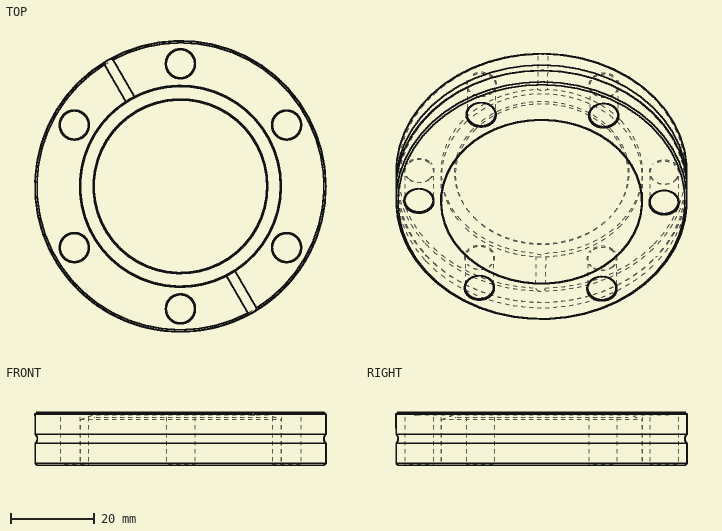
import cadquery as cq
import math

flange_diameter = 69.85
thickness = 12.7
flange_radius = flange_diameter / 2
rim_chamfer = 0.5
bore_diameter = 48.35

rim_groove_width = 2.25
rim_groove_depth = 0.5

bolt_count = 6
bolt_circle_diameter = 58.8
bolt_hole_diameter = 6.8
bolt_hole_chamfer = 0.2

channel_angle = 120.0
channel_width = 2.4
channel_depth = 0.55

insert_diameter = 48.05
knife_diameter = 41.9
center_diameter = 41.4
knife_tip_depth = 0.55
knife_slope = 20.0
center_depth = 1.2


def arc_radius(chord, height):
    """Radius of the circle that has this chord and arc height."""
    return (chord ** 2 / 4 + height ** 2) / (2 * height)


def cut_rim_groove(body):
    middle = thickness / 2
    half_width = rim_groove_width / 2
    section = (
        cq.Workplane("XZ")
        .moveTo(flange_radius, middle - half_width)
        .threePointArc((flange_radius - rim_groove_depth, middle), (flange_radius, middle + half_width))
        .lineTo(flange_radius + rim_groove_depth, middle + half_width)
        .lineTo(flange_radius + rim_groove_depth, middle - half_width)
        .close()
    )
    return body.cut(section.revolve(360, (0, 0, 0), (0, 1, 0)))


def cut_bolt_holes(body):
    hole_radius = bolt_hole_diameter / 2
    mouth_radius = hole_radius + bolt_hole_chamfer
    hole_section = cq.Workplane("XZ").polyline([
        (0, 0),
        (mouth_radius, 0),
        (hole_radius, bolt_hole_chamfer),
        (hole_radius, thickness - bolt_hole_chamfer),
        (mouth_radius, thickness),
        (0, thickness),
    ]).close()
    hole = hole_section.revolve(360, (0, 0, 0), (0, 1, 0)).translate((0, bolt_circle_diameter / 2, 0))
    for index in range(bolt_count):
        body = body.cut(hole.rotate((0, 0, 0), (0, 0, 1), index * 360 / bolt_count))
    return body


def cut_leak_channels(body):
    radius = arc_radius(channel_width, channel_depth)
    channel = (
        cq.Workplane("YZ", origin=(-flange_radius, 0, 0))
        .center(0, thickness - channel_depth + radius)
        .circle(radius)
        .extrude(flange_diameter)
        .rotate((0, 0, 0), (0, 0, 1), channel_angle)
    )
    return body.cut(channel)


def make_flange_ring():
    ring = cq.Workplane("XY").circle(flange_radius).extrude(thickness)
    ring = ring.edges().chamfer(rim_chamfer)
    ring = ring.cut(cq.Workplane("XY").circle(bore_diameter / 2).extrude(thickness))
    ring = cut_rim_groove(ring)
    ring = cut_bolt_holes(ring)
    return cut_leak_channels(ring)


def make_insert():
    """Solid disc whose knife edge slopes down outward and drops steeply inward to the center face."""
    insert_radius = insert_diameter / 2
    knife_radius = knife_diameter / 2
    knife_z = thickness - knife_tip_depth
    center_z = thickness - center_depth
    outer_z = knife_z - (insert_radius - knife_radius) * math.tan(math.radians(knife_slope))
    return (
        cq.Workplane("XZ")
        .polyline([
            (0, 0),
            (insert_radius, 0),
            (insert_radius, outer_z),
            (knife_radius, knife_z),
            (center_diameter / 2, center_z),
            (0, center_z),
        ])
        .close()
        .revolve(360, (0, 0, 0), (0, 1, 0))
    )


flange_ring = make_flange_ring()
insert = make_insert()

result = cq.Compound.makeCompound([flange_ring.val(), insert.val()])